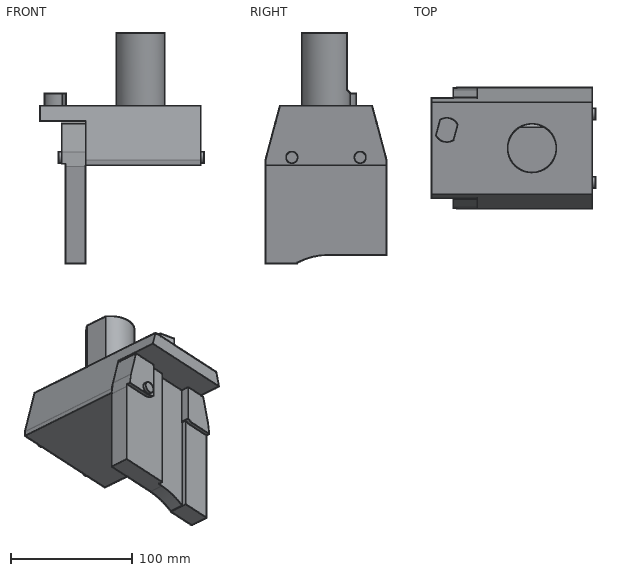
import cadquery as cq
import math


head_back = 49.8
head_front = -82.8
head_depth = 49.2
plate_thickness = 12.7
half_width = 50.0
head_top_half_width = 38.0
head_taper_end = -44.6

leg_back = -45.2
leg_front = -61.8
leg_top = -14.6
leg_bottom = -130.0
leg_top_half_width = 42.0
leg_taper_break = -38.0
leg_break_half_width = 48.0
leg_taper_end = -50.0

groove_depth = 4.0
groove_left = 5.5
groove_right = -23.8
raised_bottom = -123.0
arc_start = 1.9
arc_end_height = 0.5

ear_front = -65.0
ear_bottom = -47.9
left_ear_inner = 19.8
left_ear_arc_start = 28.1
left_ear_rise = 2.5
right_ear_inner = -23.2
right_ear_arc_start = -28.5
right_ear_rise = 1.9

shank_diameter = 40.0
shank_height = 60.0
shank_flat = 17.3
flat_bottom = 13.3

key_x = -70.1
key_y = 15.0
key_diameter = 20.0
key_width = 15.0
key_height = 10.0
key_angle = -15

pin_diameter = 9.5
pin_length = 2.7
pin_y = 28.1
pin_z = -42.5


def extrude_x(outline, x_start, x_end):
    """Extrude a closed YZ outline between two X positions."""
    return outline.extrude(x_end - x_start).translate((x_start, 0, 0))


def tapered_outline(levels):
    """Closed YZ outline, symmetric about Y = 0, from (half width, height) pairs."""
    left_side = list(levels)
    right_side = [(-y, z) for y, z in reversed(levels)]
    return cq.Workplane("YZ").polyline(left_side + right_side).close()


def make_head():
    outline = tapered_outline([
        (head_top_half_width, 0),
        (half_width, head_taper_end),
        (half_width, -head_depth),
    ])
    head = extrude_x(outline, head_front, head_back)
    under_plate = cq.Workplane("XY").box(
        leg_back - head_front, 2 * half_width, head_depth, centered=(False, True, False)
    ).translate((head_front, 0, -plate_thickness - head_depth))
    return head.cut(under_plate)


def make_tapered_envelope(bottom):
    outline = tapered_outline([
        (leg_top_half_width, leg_top),
        (leg_break_half_width, leg_taper_break),
        (half_width, leg_taper_end),
        (half_width, bottom),
    ])
    return extrude_x(outline, ear_front, leg_back)


def make_leg():
    outline = (
        cq.Workplane("YZ")
        .moveTo(half_width, leg_top)
        .lineTo(half_width, raised_bottom)
        .lineTo(arc_start, raised_bottom)
        .tangentArcPoint((groove_right, leg_bottom + arc_end_height), relative=False)
        .lineTo(groove_right, leg_bottom)
        .lineTo(-half_width, leg_bottom)
        .lineTo(-half_width, leg_top)
        .close()
    )
    leg = extrude_x(outline, leg_front, leg_back)
    groove = cq.Workplane("XY").box(
        groove_depth, groove_left - groove_right, leg_top - leg_bottom, centered=False
    ).translate((leg_front, groove_right, leg_bottom))
    return leg.cut(groove)


def make_ear(outer, arc_start_y, inner, rise):
    outline = (
        cq.Workplane("YZ")
        .moveTo(outer, leg_top)
        .lineTo(outer, ear_bottom)
        .lineTo(arc_start_y, ear_bottom)
        .tangentArcPoint((inner, ear_bottom + rise), relative=False)
        .lineTo(inner, leg_top)
        .close()
    )
    return extrude_x(outline, ear_front, leg_back)


def make_shank():
    radius = shank_diameter / 2
    shank = cq.Workplane("XY").circle(radius).extrude(shank_height)
    flat_cut = (
        cq.Workplane("YZ")
        .polyline([
            (shank_flat, shank_height),
            (shank_flat, flat_bottom),
            (radius, flat_bottom - (radius - shank_flat)),
            (shank_diameter, flat_bottom - (radius - shank_flat)),
            (shank_diameter, shank_height),
        ])
        .close()
        .extrude(radius, both=True)
    )
    return shank.cut(flat_cut)


def make_key():
    half_key = key_width / 2
    flat_end = math.sqrt((key_diameter / 2) ** 2 - half_key ** 2)
    return (
        cq.Workplane("XY")
        .moveTo(-half_key, -flat_end)
        .lineTo(-half_key, flat_end)
        .threePointArc((0, key_diameter / 2), (half_key, flat_end))
        .lineTo(half_key, -flat_end)
        .threePointArc((0, -key_diameter / 2), (-half_key, -flat_end))
        .close()
        .extrude(key_height)
        .rotate((0, 0, 0), (0, 0, 1), key_angle)
        .translate((key_x, key_y, 0))
    )


def make_pin(x_start, y):
    outline = cq.Workplane("YZ").center(y, pin_z).circle(pin_diameter / 2)
    return extrude_x(outline, x_start, x_start + pin_length)


left_ear = make_ear(half_width, left_ear_arc_start, left_ear_inner, left_ear_rise)
right_ear = make_ear(-half_width, right_ear_arc_start, right_ear_inner, right_ear_rise)
leg_with_ears = make_leg().union(left_ear).union(right_ear)
leg_with_ears = leg_with_ears.intersect(make_tapered_envelope(leg_bottom))

result = make_head().union(leg_with_ears).union(make_shank()).union(make_key())
result = result.union(make_pin(ear_front - pin_length, pin_y))
for side in (-1, 1):
    result = result.union(make_pin(head_back, side * pin_y))